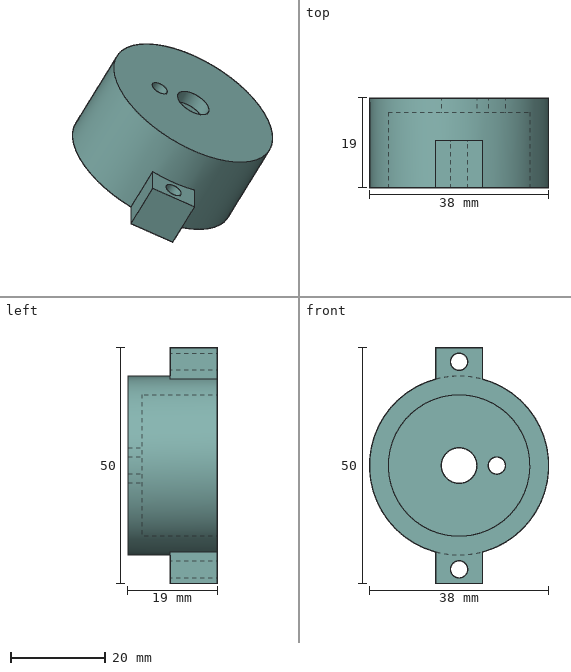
import cadquery as cq

total_height = 50.0
body_diameter = 38.0
body_depth = 19.0
bore_diameter = 30.0
floor_thickness = 3.0
shaft_hole_diameter = 7.5
small_hole_diameter = 3.6
side_hole_offset = 8.0
tab_width = 10.0
tab_depth = 10.0
tab_hole_offset = 22.0

front_y = -body_depth / 2
cavity_depth = body_depth - floor_thickness


def cylinder_along_y(diameter, length, x=0, z=0):
    """Cylinder that starts at the front face and runs toward +Y."""
    start = cq.Vector(x, front_y, z)
    return cq.Workplane(cq.Solid.makeCylinder(diameter / 2, length, start, cq.Vector(0, 1, 0)))


body = cylinder_along_y(body_diameter, body_depth)
tab_bar = cq.Workplane("XY").box(tab_width, tab_depth, total_height)
tab_bar = tab_bar.translate((0, front_y + tab_depth / 2, 0))
result = body.union(tab_bar)

result = result.cut(cylinder_along_y(bore_diameter, cavity_depth))

result = result.cut(cylinder_along_y(shaft_hole_diameter, body_depth))
result = result.cut(cylinder_along_y(small_hole_diameter, body_depth, x=side_hole_offset))

for side in (-1, 1):
    result = result.cut(cylinder_along_y(small_hole_diameter, tab_depth, z=side * tab_hole_offset))